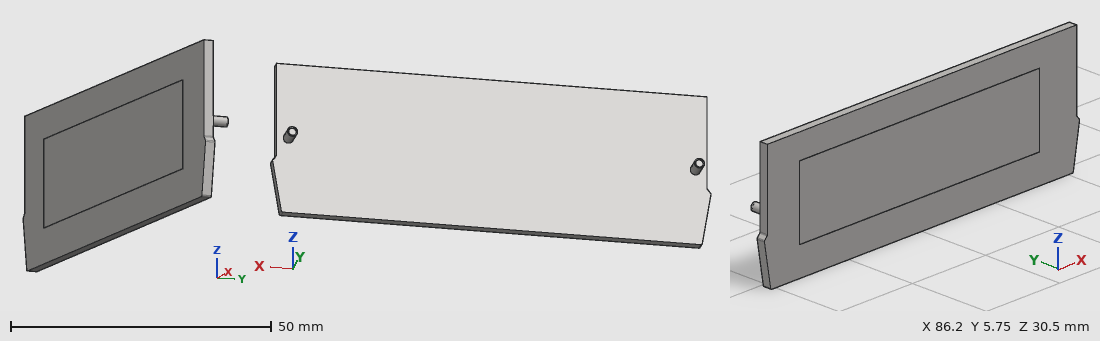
import cadquery as cq

plate_height = 30.5
plate_thickness = 2.0
upper_width = 84.6
shoulder_width = 86.24
bottom_width = 82.7
notch_drop = 18.9
shoulder_drop = 19.9
corner_radius = 0.35

label_width = 65.6
label_height = 17.4
label_top_margin = 6.05
label_offset_x = -0.65
label_depth = 0.1

overall_depth = 5.75
pin_diameter = 2.0
pin_spacing = 80.0
tip_bore_diameter = 1.5
tip_bore_depth = 0.25

top_z = plate_height / 2
bottom_z = -plate_height / 2
pin_length = overall_depth - plate_thickness


def make_plate():
    """Flat plate with a rounded shoulder on each side that tapers to the bottom."""
    right_side = [
        (upper_width / 2, top_z),
        (upper_width / 2, top_z - notch_drop),
        (shoulder_width / 2, top_z - shoulder_drop),
        (bottom_width / 2, bottom_z),
    ]
    left_side = [(-x, z) for x, z in reversed(right_side)]
    outline = cq.Workplane("XZ").polyline(right_side + left_side).close()
    plate = outline.extrude(-plate_thickness)
    return plate.edges("|Y").edges("not >Z").fillet(corner_radius)


def make_label_recess():
    """Block that is cut from the front face for the label."""
    label_z = top_z - label_top_margin - label_height / 2
    return (
        cq.Workplane("XZ")
        .center(label_offset_x, label_z)
        .rect(label_width, label_height)
        .extrude(-label_depth)
    )


def make_pin(x):
    """Round pin standing on the back face at mid-height, with its tip bored."""
    return (
        cq.Workplane("XZ", origin=(x, plate_thickness, 0))
        .circle(pin_diameter / 2)
        .extrude(-pin_length)
        .faces(">Y")
        .workplane()
        .hole(tip_bore_diameter, tip_bore_depth)
    )


result = make_plate().cut(make_label_recess())
for side in (-1, 1):
    result = result.union(make_pin(side * pin_spacing / 2))